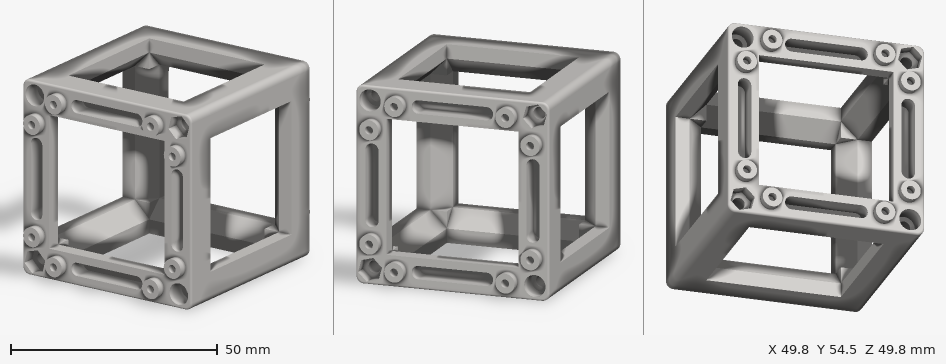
import cadquery as cq
import math


frame_side = 49.8
frame_length = 50.25
window = 34.1
overall_length = 54.5
long_edge_radius = 1.9
rim_radius = 0.55
inner_bevel = 4.25

half_side = frame_side / 2
half_length = frame_length / 2
half_window = window / 2
bar_width = half_side - half_window
bar_center = half_window + bar_width / 2
ring_depth = half_length - half_window

boss_diameter = 4.95
boss_height = (overall_length - frame_length) / 2
boss_hole_diameter = 2.05
boss_spread = 14.35
boss_offset = 20.75

slot_width = 3.4
slot_length = 21.0
slot_depth = 5.0

screw_offset = 21.25
screw_hole_diameter = 3.1
head_recess_diameter = 5.5
nut_across_flats = 5.5
nut_across_corners = nut_across_flats / math.cos(math.radians(30))
nut_turn = 15
head_recess_depth = 5.0
nut_recess_depth = 3.25


def end_plane(center_x, center_z):
    """Sketch plane on the front end face, with local X along X and local Y along Z."""
    return cq.Workplane("XZ", origin=(center_x, -half_length, center_z))


def bevel_wedge():
    """Triangular prism along Z that bevels the inside edge of a bar at +X, +Y."""
    return (
        cq.Workplane("XY", origin=(half_window, half_window, -half_window))
        .polyline([(0, 0), (inner_bevel, 0), (0, inner_bevel)])
        .close()
        .extrude(window)
    )


def bevel_bars(frame):
    """Cut the bevel on the inside edges of all twelve bars, between the cube corners."""
    for quarter in range(4):
        upright = bevel_wedge().rotate((0, 0, 0), (0, 0, 1), 90 * quarter)
        frame = frame.cut(upright)
        frame = frame.cut(upright.rotate((0, 0, 0), (1, 0, 0), 90))
        frame = frame.cut(upright.rotate((0, 0, 0), (0, 1, 0), 90))
    return frame


def make_frame():
    """Whole cube frame: outer block, three square openings and the inside bevels."""
    frame = (
        cq.Workplane("XY")
        .box(frame_side, frame_length, frame_side)
        .edges("|Y")
        .fillet(long_edge_radius)
        .faces("<Y or >Y")
        .edges().fillet(rim_radius)
    )
    for axes in ("XY", "XZ", "YZ"):
        opening = cq.Workplane(axes).rect(window, window).extrude(overall_length / 2, both=True)
        frame = frame.cut(opening)
    return bevel_bars(frame)


def half_region():
    """Space taken by the front half: the ring layer and two diagonally opposite bars."""
    region = cq.Workplane("XY").box(frame_side, ring_depth, frame_side).translate(
        (0, ring_depth / 2 - half_length, 0)
    )
    for side in (-1, 1):
        bar = cq.Workplane("XY").box(bar_width, window, bar_width)
        region = region.union(bar.translate((side * bar_center, 0, -side * bar_center)))
    return region


def cut_corner_holes(half):
    """Screw holes with head recesses on one diagonal and nut recesses on the other."""
    for side in (-1, 1):
        head = end_plane(side * screw_offset, -side * screw_offset)
        nut = end_plane(side * screw_offset, side * screw_offset)
        for corner in (head, nut):
            half = half.cut(corner.circle(screw_hole_diameter / 2).extrude(-frame_length))
        half = half.cut(head.circle(head_recess_diameter / 2).extrude(-head_recess_depth))
        nut = nut.transformed(rotate=(0, 0, nut_turn))
        half = half.cut(nut.polygon(6, nut_across_corners).extrude(-nut_recess_depth))
    return half


def cut_slots(half):
    """One blind slot along each of the four ring bars."""
    for quarter in range(4):
        slot = end_plane(0, boss_offset).slot2D(slot_length, slot_width).extrude(-slot_depth)
        half = half.cut(slot.rotate((0, 0, 0), (0, 1, 0), 90 * quarter))
    return half


def add_bosses(half):
    """Two bosses with a blind hole on each of the four ring bars."""
    for quarter in range(4):
        for side in (-1, 1):
            face = end_plane(side * boss_spread, boss_offset)
            boss = face.circle(boss_diameter / 2).circle(boss_hole_diameter / 2).extrude(boss_height)
            half = half.union(boss.rotate((0, 0, 0), (0, 1, 0), 90 * quarter))
    return half


def make_half():
    half = make_frame().intersect(half_region())
    half = cut_corner_holes(half)
    half = cut_slots(half)
    return add_bosses(half)


front_half = make_half()
back_half = front_half.rotate((0, 0, 0), (0, 0, 1), 180)

result = cq.Compound.makeCompound([front_half.val(), back_half.val()])